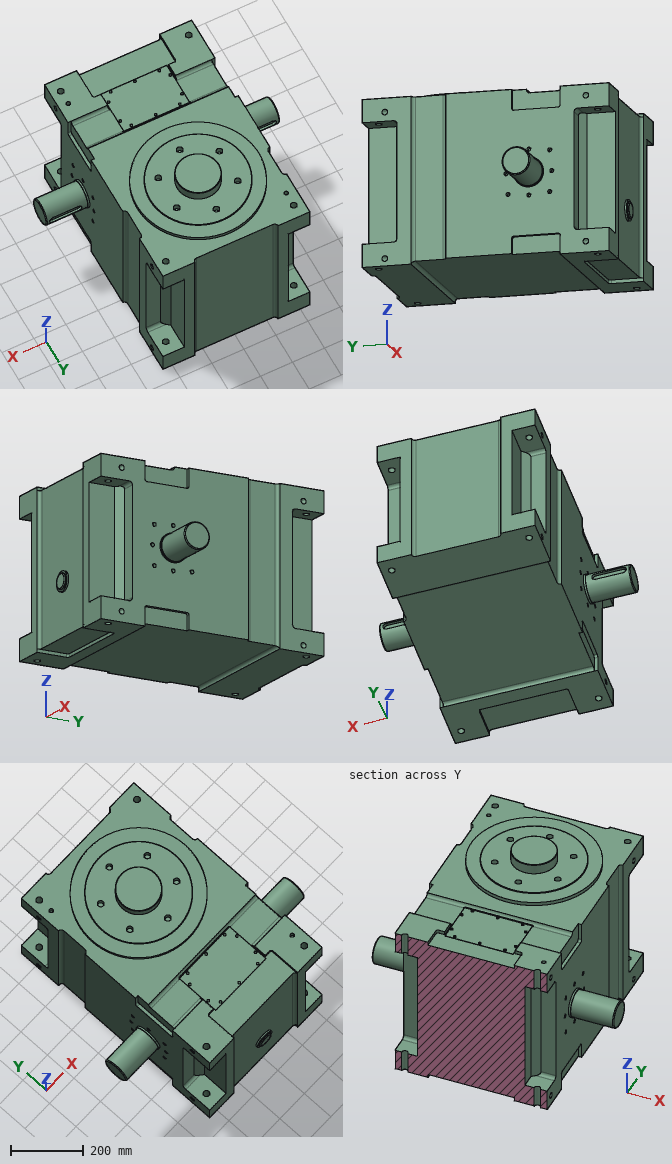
import cadquery as cq
import math

length_x = 460.0
length_y = 710.0
height = 480.0
half_x = length_x / 2
half_y = length_y / 2
relief = 10.0

end_relief_width = 260.0
band_near = 114.5
band_far = 214.5
side_patch_inner = 75.0
side_patch_height = 60.0
patch_corner = 6.5
end_recess_length = 100.0

foot_height = 66.5
pocket_x = 67.0
pocket_y = 100.0
pocket_bevel_x = 22.5
pocket_bevel_y = 19.0

bolt_x = 200.0
bolt_y = 315.0
bolt_diameter = 18.0
dowel_y = 270.0
dowel_diameter = 12.0
dowel_depth = 20.0

mark_radius = 8.0
mark_depth = 8.0
output_mark_y = 290.0
output_mark_drop = 40.0
output_mark_rise = 21.0
input_mark_y = 289.0
input_mark_rise = 31.5

axis_offset = 125.0
flange_diameter = 380.0
flange_top = 491.0
disc_diameter = 300.0
disc_top = 493.5
hub_diameter = 130.0
hub_top = 525.0
turret_chamfer = 1.5
turret_bolt_count = 6
turret_bolt_radius = 110.0
turret_bolt_diameter = 18.0
turret_bolt_depth = 20.0

shaft_span = 730.0
shaft_diameter = 80.0
shaft_chamfer = 3.0
shoulder_diameter = 85.0
shoulder_length = 6.0
shaft_z = height / 2
keyway_length = 100.0
keyway_width = 22.0
keyway_depth = 9.0
keyway_end_gap = 11.0
cap_bolt_diameter = 11.0
cap_bolt_depth = 14.5
cap_inner_radius = 66.0
cap_outer_radius = 85.0

cover_width = 206.0
cover_length = 137.0
cover_gap = 3.0
cover_rise = 1.1
cover_y = -192.0
screw_diameter = 7.0
screw_top = 3.0
screw_row_x = 76.0
screw_row_y = 62.0
screw_side_x = 96.0
screw_side_y = 35.0

plug_z = 171.5
plug_flange_diameter = 60.0
plug_flange_thickness = 5.0
plug_head_diameter = 48.0
plug_head_chamfer = 3.0


def box(x0, x1, y0, y1, z0, z1):
    """Axis-aligned box between two corners."""
    return cq.Workplane("XY").box(x1 - x0, y1 - y0, z1 - z0, centered=False).translate((x0, y0, z0))


def cylinder(x, y, z, diameter, rise):
    """Vertical cylinder standing on the given point."""
    return cq.Workplane("XY", origin=(x, y, z)).circle(diameter / 2).extrude(rise)


def relief_groove(floor_point, across, along, width, length):
    """Groove with quarter-round walls, open towards the cross product of along and across."""
    half = width / 2
    bend = relief * (1 - math.sqrt(0.5))
    return (
        cq.Workplane(cq.Plane(floor_point, xDir=across, normal=along))
        .moveTo(-half, relief)
        .threePointArc((-half + bend, bend), (-half + relief, 0))
        .lineTo(half - relief, 0)
        .threePointArc((half - bend, bend), (half, relief))
        .close()
        .extrude(length)
    )


def cut_upright_reliefs(body):
    """Full-height reliefs in the two end faces and in the two side faces."""
    side_y = (band_near + band_far) / 2
    side_width = band_far - band_near
    up = (0, 0, 1)
    for sign in (-1, 1):
        along_end = (sign, 0, 0)
        along_side = (0, -sign, 0)
        end_floor = (0, sign * (half_y - relief), 0)
        side_floor = (sign * (half_x - relief), side_y, 0)
        body = body.cut(relief_groove(end_floor, along_end, up, end_relief_width, height))
        body = body.cut(relief_groove(side_floor, along_side, up, side_width, height))
    return body


def cut_cross_bands(body):
    """Relief across the top near the input end, and a wide one across the bottom."""
    top_y = -(band_near + band_far) / 2
    top_floor = (-half_x, top_y, height - relief)
    bottom_floor = (half_x, 0, relief)
    across = (0, 1, 0)
    top = relief_groove(top_floor, across, (1, 0, 0), band_far - band_near, length_x)
    bottom = relief_groove(bottom_floor, across, (-1, 0, 0), 2 * band_far, length_x)
    return body.cut(top).cut(bottom)


def cut_side_patches(body):
    """Round-cornered patches at the top and bottom of both side faces."""
    for x0 in (-half_x, half_x - relief):
        for z0, inner_edge in ((height - side_patch_height, "<Z"), (0, ">Z")):
            patch = box(x0, x0 + relief, -band_far, -side_patch_inner, z0, z0 + side_patch_height)
            patch = patch.faces(inner_edge).edges("|X").fillet(patch_corner)
            body = body.cut(patch)
    return body


def cut_end_recesses(body):
    """Recesses in the top and bottom faces that run out through the input end."""
    half = end_relief_width / 2
    for z0 in (0, height - relief):
        recess = box(-half, half, -half_y, -half_y + end_recess_length, z0, z0 + relief)
        body = body.cut(recess.faces(">Y").edges("|Z").fillet(patch_corner))
    return body


def cut_corner_pockets(body):
    """Bevelled pockets that leave an upper and a lower foot at each corner."""
    pocket = (
        cq.Workplane("XY", origin=(0, 0, foot_height))
        .polyline([
            (half_x, half_y),
            (half_x - pocket_x, half_y),
            (half_x - pocket_x, half_y - pocket_y + pocket_bevel_y),
            (half_x - pocket_x + pocket_bevel_x, half_y - pocket_y),
            (half_x, half_y - pocket_y),
        ])
        .close()
        .extrude(height - 2 * foot_height)
        .faces("<Y")
        .edges("|X")
        .fillet(relief)
    )
    across = pocket.mirror("YZ")
    for corner in (pocket, across, pocket.mirror("XZ"), across.mirror("XZ")):
        body = body.cut(corner)
    return body


def cut_foot_holes(body):
    """Through bolt holes at the corners and two blind dowel holes in the top."""
    for x in (-bolt_x, bolt_x):
        for y in (-bolt_y, bolt_y):
            body = body.cut(cylinder(x, y, 0, bolt_diameter, height))
    for sign in (-1, 1):
        body = body.cut(cylinder(sign * bolt_x, -sign * dowel_y, height, dowel_diameter, -dowel_depth))
    return body


def cut_side_marks(body):
    """Conical marks on the four feet of each side face."""
    places = [
        (output_mark_y, output_mark_rise),
        (output_mark_y, height - output_mark_drop),
        (-input_mark_y, input_mark_rise),
        (-input_mark_y, height - input_mark_rise),
    ]
    for y, z in places:
        for sign in (-1, 1):
            cone = cq.Solid.makeCone(
                mark_radius, 0, mark_depth, cq.Vector(sign * half_x, y, z), cq.Vector(-sign, 0, 0)
            )
            body = body.cut(cq.Workplane(cone))
    return body


def add_turret(body):
    """Output flange, raised disc and hub with a ring of blind bolt holes."""
    body = body.union(cylinder(0, axis_offset, height, flange_diameter, flange_top - height))
    for diameter, top in ((disc_diameter, disc_top), (hub_diameter, hub_top)):
        step = cylinder(0, axis_offset, height, diameter, top - height)
        body = body.union(step.faces(">Z").chamfer(turret_chamfer))
    holes = (
        cq.Workplane("XY", origin=(0, axis_offset, disc_top))
        .polarArray(turret_bolt_radius, 90, 360, turret_bolt_count)
        .circle(turret_bolt_diameter / 2)
        .extrude(-turret_bolt_depth)
    )
    return body.cut(holes)


def add_input_shaft(body):
    """Through shaft with shoulders and keyways, and the bearing cap bolt holes on both sides."""
    shaft_line = cq.Workplane("YZ", origin=(0, -axis_offset, shaft_z))
    shaft = shaft_line.circle(shaft_diameter / 2).extrude(shaft_span / 2, both=True)
    shaft = shaft.faces("<X or >X").chamfer(shaft_chamfer)
    shoulder = shaft_line.circle(shoulder_diameter / 2).extrude(half_x + shoulder_length, both=True)
    body = body.union(shaft).union(shoulder)
    keyway_x = shaft_span / 2 - keyway_end_gap - keyway_length / 2
    keyway_floor_y = -axis_offset + shaft_diameter / 2 - keyway_depth
    keyways = (
        cq.Workplane("XZ", origin=(0, keyway_floor_y, shaft_z))
        .pushPoints([(-keyway_x, 0), (keyway_x, 0)])
        .slot2D(keyway_length, keyway_width)
        .extrude(-keyway_depth)
    )
    body = body.cut(keyways)
    for sign in (-1, 1):
        face = cq.Workplane("YZ", origin=(sign * half_x, -axis_offset, shaft_z))
        for radius, start in ((cap_inner_radius, 0), (cap_outer_radius, 45)):
            holes = (
                face.polarArray(radius, start, 360, 4)
                .circle(cap_bolt_diameter / 2)
                .extrude(-sign * cap_bolt_depth)
            )
            body = body.cut(holes)
    return body


def add_cover(body):
    """Cover plate set in a slot through the top pad, held by ten screws."""
    floor = height - relief
    slot = (
        cq.Workplane("XY", origin=(0, cover_y, floor))
        .rect(cover_width + 2 * cover_gap, cover_length + 2 * cover_gap)
        .extrude(relief)
        .edges("|Z")
        .fillet(patch_corner)
    )
    plate = (
        cq.Workplane("XY", origin=(0, cover_y, floor))
        .rect(cover_width, cover_length)
        .extrude(cover_rise)
    )
    places = [(x, y) for x in (-screw_row_x, 0, screw_row_x) for y in (-screw_row_y, screw_row_y)]
    places += [(x, y) for x in (-screw_side_x, screw_side_x) for y in (-screw_side_y, screw_side_y)]
    screws = (
        cq.Workplane("XY", origin=(0, cover_y, floor))
        .pushPoints(places)
        .circle(screw_diameter / 2)
        .extrude(screw_top)
    )
    return body.cut(slot).union(plate).union(screws)


def add_oil_plug(body):
    """Stepped round plug standing in the relief of the input end face."""
    base = cq.Workplane("XZ", origin=(0, -half_y + relief, plug_z))
    flange = base.circle(plug_flange_diameter / 2).extrude(plug_flange_thickness)
    head = base.circle(plug_head_diameter / 2).extrude(relief)
    return body.union(flange).union(head.faces("<Y").chamfer(plug_head_chamfer))


body = box(-half_x, half_x, -half_y, half_y, 0, height)
body = cut_upright_reliefs(body)
body = cut_cross_bands(body)
body = cut_side_patches(body)
body = cut_end_recesses(body)
body = cut_corner_pockets(body)
body = cut_foot_holes(body)
body = cut_side_marks(body)
body = add_turret(body)
body = add_input_shaft(body)
body = add_cover(body)
result = add_oil_plug(body)